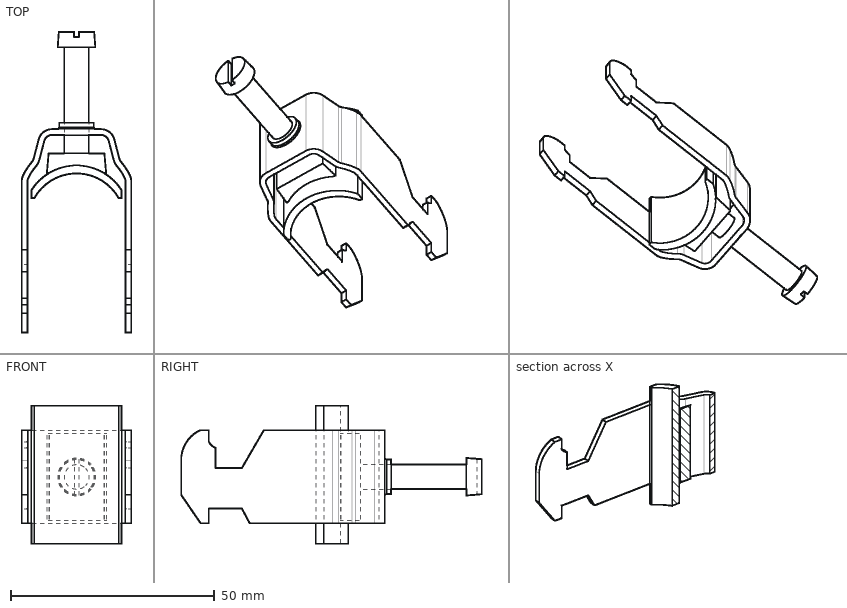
import cadquery as cq


strap_width = 27.0
strap_height = 22.95
sheet = 1.5
tip_y = -50.1
half_height = strap_height / 2
half_width = strap_width / 2
bend_inner_radius = 2.0
bend_outer_radius = bend_inner_radius + sheet
back_corner = (8.65, 0.0)
waist_y = -7.8
shoulder_radius = 14.6
shoulder_center_y = -17.7
waist_corner = ((shoulder_radius**2 - (waist_y - shoulder_center_y) ** 2) ** 0.5, waist_y)
shoulder_corner = (half_width, shoulder_center_y + (shoulder_radius**2 - half_width**2) ** 0.5)

leg_top_end_y = -29.75
leg_bottom_end_y = -33.2
neck_start_y = -35.15
neck_top_z = 2.15
neck_bottom_z = -7.85
throat_y = -41.6
hook_y = -43.2
hook_step_bottom_z = 7.1
hook_step_top_z = 8.6
hook_step_mid = (-42.55, 7.7)
nose_top_y = -45.35
nose_end_z = 4.1
heel_start_z = -4.45
heel_end_y = -45.3

screw_radius = 3.0
head_top_y = tip_y + 74.0
head_height = 3.85
head_bottom_radius = 4.65
head_top_radius = 4.4
slot_width = 1.1
slot_depth = 1.25

collar_height = 1.55
collar_radius = 4.3
collar_foot_radius = 4.45
collar_foot_height = 0.45

saddle_top_z = 17.5
saddle_length = 34.0
saddle_half_width = 11.1
saddle_back_y = -8.95
saddle_thickness = 2.0
saddle_side_y = -15.0
saddle_front_y = -17.0
saddle_lip = 0.75
block_back_y = -6.0
block_height = 21.45
block_back_half_width = 6.9
block_front_half_width = 7.3
block_front_y = -10.95


def cylinder_y(radius, start_y, end_y):
    """Solid cylinder on the screw axis between two Y positions."""
    return cq.Workplane("XZ", origin=(0, end_y, 0)).circle(radius).extrude(end_y - start_y)


def mirrored(point):
    """The matching point on the other side of x = 0."""
    return (-point[0], point[1])


def round_bend(body, corner, radius):
    """Round the upright edge at a corner and its mirror image."""
    for x, y in (corner, mirrored(corner)):
        nearest = cq.selectors.NearestToPointSelector((x, y, 0))
        body = body.edges("|Z").edges(nearest).fillet(radius)
    return body


def leg_outline():
    """Side outline of the strap with its hooks, as a slab across the full width."""
    nose_run = nose_top_y - tip_y
    nose_rise = half_height - nose_end_z
    nose_radius = (nose_run**2 + nose_rise**2) / (2 * nose_run)
    return (
        cq.Workplane("YZ")
        .moveTo(0, half_height)
        .lineTo(leg_top_end_y, half_height)
        .lineTo(neck_start_y, neck_top_z)
        .lineTo(throat_y, neck_top_z)
        .lineTo(throat_y, hook_step_bottom_z)
        .threePointArc(hook_step_mid, (hook_y, hook_step_top_z))
        .lineTo(hook_y, half_height)
        .lineTo(nose_top_y, half_height)
        .radiusArc((tip_y, nose_end_z), -nose_radius)
        .lineTo(tip_y, heel_start_z)
        .lineTo(heel_end_y, -half_height)
        .lineTo(hook_y, -half_height)
        .lineTo(hook_y, neck_bottom_z)
        .lineTo(neck_start_y, neck_bottom_z)
        .lineTo(leg_bottom_end_y, -half_height)
        .lineTo(0, -half_height)
        .close()
        .extrude(half_width, both=True)
    )


def make_strap():
    """Bent sheet of even thickness, trimmed to the hooks and drilled for the screw."""
    loop_end_y = tip_y - 2 * sheet
    arc_mid_y = (waist_corner[1] + shoulder_corner[1]) / 2
    arc_mid = ((shoulder_radius**2 - (arc_mid_y - shoulder_center_y) ** 2) ** 0.5, arc_mid_y)
    loop = (
        cq.Workplane("XY", origin=(0, 0, -half_height))
        .moveTo(*mirrored(back_corner))
        .lineTo(*back_corner)
        .lineTo(*waist_corner)
        .threePointArc(arc_mid, shoulder_corner)
        .lineTo(half_width, loop_end_y)
        .lineTo(-half_width, loop_end_y)
        .lineTo(*mirrored(shoulder_corner))
        .threePointArc(mirrored(arc_mid), mirrored(waist_corner))
        .close()
        .extrude(strap_height)
    )
    loop = round_bend(loop, back_corner, bend_outer_radius)
    loop = round_bend(loop, waist_corner, bend_inner_radius)
    loop = round_bend(loop, shoulder_corner, bend_outer_radius)
    inside = (
        loop.faces("<Z")
        .wires()
        .toPending()
        .workplane()
        .offset2D(-sheet)
        .extrude(-strap_height, combine=False)
    )
    screw_hole = cylinder_y(screw_radius, -2 * sheet, sheet)
    return loop.cut(inside).intersect(leg_outline()).cut(screw_hole)


def make_collar():
    """Round collar around the screw, flared where it stands on the back of the strap."""
    return (
        cq.Workplane("XY")
        .moveTo(screw_radius, 0)
        .lineTo(collar_foot_radius, 0)
        .lineTo(collar_radius, collar_foot_height)
        .lineTo(collar_radius, collar_height)
        .lineTo(screw_radius, collar_height)
        .close()
        .revolve(360, (0, 0, 0), (0, 1, 0))
    )


def make_screw():
    """Shank ending on the pressure block, with a tapered slotted head."""
    head_y = head_top_y - head_height
    body = (
        cq.Workplane("XY")
        .moveTo(0, block_back_y)
        .lineTo(screw_radius, block_back_y)
        .lineTo(screw_radius, head_y)
        .lineTo(head_bottom_radius, head_y)
        .lineTo(head_top_radius, head_top_y)
        .lineTo(0, head_top_y)
        .close()
        .revolve(360, (0, 0, 0), (0, 1, 0))
    )
    slot = cq.Workplane("XY", origin=(0, head_top_y, 0)).box(
        slot_width, 2 * slot_depth, 2 * head_bottom_radius
    )
    return body.cut(slot)


def make_saddle():
    """Curved shell for the cable with the tapered block that the screw pushes on."""
    shell = (
        cq.Workplane("XY", origin=(0, 0, saddle_top_z))
        .moveTo(-saddle_half_width, saddle_side_y)
        .threePointArc((0, saddle_back_y), (saddle_half_width, saddle_side_y))
        .lineTo(saddle_half_width, saddle_front_y)
        .lineTo(saddle_half_width - saddle_lip, saddle_front_y)
        .threePointArc(
            (0, saddle_back_y - saddle_thickness), (saddle_lip - saddle_half_width, saddle_front_y)
        )
        .lineTo(-saddle_half_width, saddle_front_y)
        .close()
        .extrude(-saddle_length)
    )
    block = (
        cq.Workplane("XY")
        .moveTo(-block_back_half_width, block_back_y)
        .lineTo(block_back_half_width, block_back_y)
        .lineTo(block_front_half_width, block_front_y)
        .threePointArc(
            (0, saddle_back_y - saddle_thickness / 2), (-block_front_half_width, block_front_y)
        )
        .close()
        .extrude(block_height / 2, both=True)
    )
    return shell.union(block)


strap = make_strap().solids()
collar = make_collar().solids()
screw = make_screw().solids()
saddle = make_saddle().solids()

result = cq.Compound.makeCompound([strap.val(), collar.val(), screw.val(), saddle.val()])